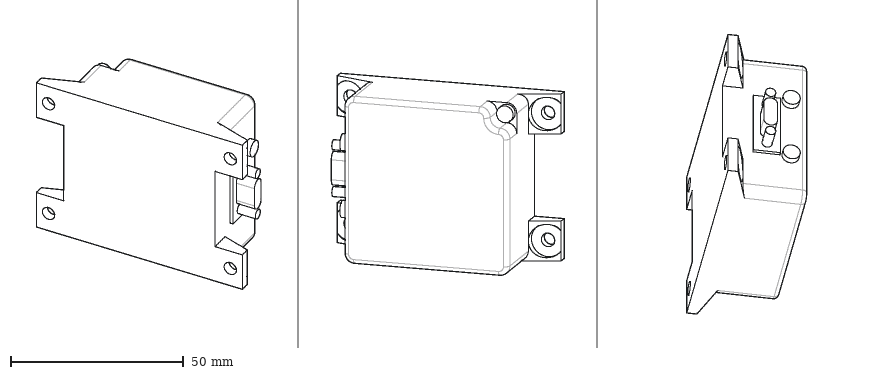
import cadquery as cq
import math

base_length = 68.0
housing_width = 50.0
housing_height = 25.0
corner_radius = 3.0
top_edge_radius = 1.5

tab_reach = (base_length - housing_width) / 2
tab_width = 12.0
tab_edge_height = 3.0
tab_slope = 1 / 3
tab_root_run = tab_reach + corner_radius
tab_root_height = tab_edge_height + tab_slope * tab_root_run

screw_hole_diameter = 4.0
screw_head_diameter = 10.0
screw_end_inset = 4.0
screw_side_inset = 6.0

recess_depth = 8.0
stud_diameter = 5.0
stud_height = 2.0

connector_height = 12.9
flange_length = 20.0
flange_width = 8.0
flange_thickness = 1.0
connector_reach = 7.0
plug_length = 10.0
plug_width = 4.0
post_diameter = 3.0
post_spacing = 14.0

button_diameter = 5.0
button_reach = 2.0
button_height = 20.0
button_spacing = 20.0

half_length = base_length / 2
half_width = housing_width / 2


def upright(base_y):
    """Workplane facing +Y at the given height, with local axes (X, -Z)."""
    return cq.Workplane("XZ", origin=(0, base_y, 0)).transformed(rotate=(180, 0, 0))


def on_end_wall(y):
    """Workplane on the +X housing wall, centred at the given height, with local axes (Y, Z)."""
    return cq.Workplane("YZ", origin=(half_width, y, 0))


def make_recess():
    """Corner cutter whose S-shaped walls are quarter arcs of the corner radius."""
    r = corner_radius
    sine45 = math.sqrt(0.5)
    left = -half_width
    top = half_width
    lead_in = (1 - sine45) * r
    bulge = (1 + sine45) * r
    outline = (
        cq.Workplane("XZ", origin=(0, housing_height, 0))
        .moveTo(left, top)
        .lineTo(left + 3 * r, top)
        .threePointArc((left + 3 * r - sine45 * r, top - lead_in), (left + 2 * r, top - r))
        .threePointArc((left + bulge, top - bulge), (left + r, top - 2 * r))
        .threePointArc((left + lead_in, top - 3 * r + sine45 * r), (left, top - 3 * r))
        .close()
    )
    return outline.extrude(recess_depth)


def make_housing():
    housing = (
        upright(0)
        .rect(housing_width, housing_width)
        .extrude(housing_height)
        .edges("|Y")
        .fillet(corner_radius)
        .cut(make_recess())
    )
    housing = housing.faces(">Y").edges().fillet(top_edge_radius)
    stud_offset = half_width - corner_radius
    stud = (
        upright(housing_height - recess_depth)
        .center(-stud_offset, -stud_offset)
        .circle(stud_diameter / 2)
        .extrude(stud_height)
    )
    return housing.union(stud)


def make_tab():
    """Sloping tab at the +X, +Z corner, with its screw hole and screw head clearance."""
    root_x = half_length - tab_root_run
    tab = (
        cq.Workplane("XY", origin=(0, 0, half_width - tab_width))
        .moveTo(root_x, 0)
        .lineTo(half_length, 0)
        .lineTo(half_length, tab_edge_height)
        .lineTo(root_x, tab_root_height)
        .close()
        .extrude(tab_width)
    )
    screw_x = half_length - screw_end_inset
    screw_z = half_width - screw_side_inset
    hole = upright(0).center(screw_x, -screw_z).circle(screw_hole_diameter / 2).extrude(tab_root_height)
    head = (
        upright(tab_edge_height)
        .center(screw_x, -screw_z)
        .circle(screw_head_diameter / 2)
        .extrude(tab_root_height)
    )
    return tab.cut(hole).cut(head)


def make_connector():
    """Flange carrying a round-ended plug between two jack posts, all along Z."""
    flange = on_end_wall(connector_height).rect(flange_width, flange_length).extrude(flange_thickness)
    plug = on_end_wall(connector_height).slot2D(plug_length, plug_width, 90).extrude(connector_reach)
    posts = (
        on_end_wall(connector_height)
        .rarray(0.7, post_spacing, 1, 2)
        .circle(post_diameter / 2)
        .extrude(connector_reach)
    )
    return flange.union(plug).union(posts)


def make_buttons():
    return (
        on_end_wall(button_height)
        .rarray(0.7, button_spacing, 1, 2)
        .circle(button_diameter / 2)
        .extrude(button_reach)
    )


right_tabs = make_tab().union(make_tab().mirror("XY"))
tabs = right_tabs.union(right_tabs.mirror("YZ"))

result = make_housing().union(tabs).union(make_connector()).union(make_buttons())